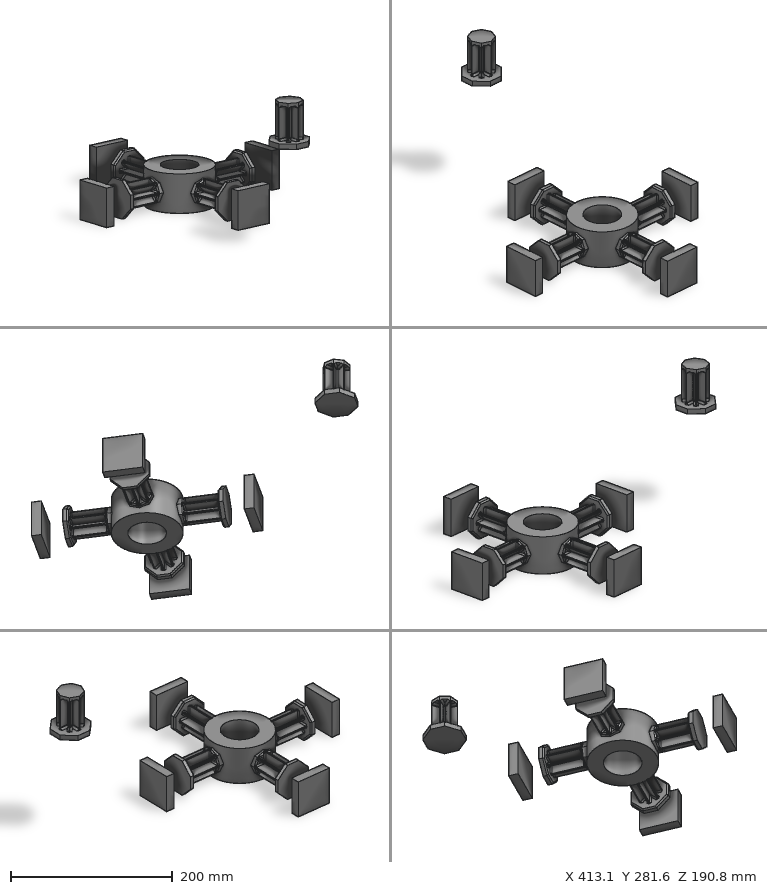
import cadquery as cq
import math

RING_DIAMETER = 88.8
BORE_DIAMETER = 47.5
RING_HEIGHT = 50.8
ARM_COUNT = 4

PLATE_SIDE = RING_HEIGHT
PLATE_THICKNESS = 12.5
PLATE_OUTER_RADIUS = 140.8

SHAFT_DIAMETER = 34.5
FLANGE_CORNER = 15.5
FLANGE_THICKNESS = 7.0
SIDE_COUNT = 8
RIB_PITCH = 2 * math.pi / SIDE_COUNT

ARM_OUTER_RADIUS = 101.5
ARM_FLANGE_WIDTH = 49.5
ARM_BEVEL = 1.85
ARM_CAP_RADIUS = 49.0
ARM_RIB_THICKNESS = 2.5
ARM_CORE_DIAMETER = 7.0
ARM_GROOVE_CHAMFER = 1.85

PLUG_X = 247.0
PLUG_Y = -33.5
PLUG_HEIGHT = 57.0
PLUG_TOP_ABOVE_RING_BASE = 190.8
PLUG_FLANGE_WIDTH = 50.5
PLUG_CAP_THICKNESS = 4.5
PLUG_RIB_THICKNESS = 1.2
PLUG_CORE_DIAMETER = 9.0
PLUG_GROOVE_CHAMFER = 2.5


def make_ring_cylinder(diameter):
    """Upright cylinder as tall as the ring."""
    return cq.Workplane("XY").cylinder(RING_HEIGHT, diameter / 2)


def make_ring():
    return make_ring_cylinder(RING_DIAMETER).cut(make_ring_cylinder(BORE_DIAMETER))


def make_plate():
    """Square plate on the +X side of the ring."""
    center_x = PLATE_OUTER_RADIUS - PLATE_THICKNESS / 2
    return cq.Workplane("XY").box(PLATE_THICKNESS, PLATE_SIDE, PLATE_SIDE).translate((center_x, 0, 0))


def make_flange(width):
    """Eight-sided plate on Z = 0: a square with its corners cut off at 45 degrees."""
    square = cq.Workplane("XY").rect(width, width).extrude(FLANGE_THICKNESS)
    return square.edges("|Z").chamfer(FLANGE_CORNER)


def make_core(bottom, top, diameter, chamfer):
    """Round core of a shaft, flared outwards by a cone at both ends."""
    radius = diameter / 2
    return (
        cq.Workplane("XZ")
        .moveTo(0, bottom)
        .lineTo(radius + chamfer, bottom)
        .lineTo(radius, bottom + chamfer)
        .lineTo(radius, top - chamfer)
        .lineTo(radius + chamfer, top)
        .lineTo(0, top)
        .close()
        .revolve(360, (0, 0, 0), (0, 1, 0))
    )


def make_rib_gap(bottom, top, rib_thickness):
    """Wedge that fills the gap between the rib along X and the next one, and runs past the rib tips."""
    half_rib = rib_thickness / 2
    apex_x = half_rib / math.tan(RIB_PITCH / 2)
    reach = ARM_FLANGE_WIDTH
    return (
        cq.Workplane("XY")
        .workplane(offset=bottom)
        .moveTo(apex_x, half_rib)
        .lineTo(apex_x + reach, half_rib)
        .lineTo(apex_x + reach * math.cos(RIB_PITCH), half_rib + reach * math.sin(RIB_PITCH))
        .close()
        .extrude(top - bottom)
    )


def make_groove(bottom, top, rib_thickness, core_diameter, chamfer):
    """Gap between two ribs down to the core, narrowed by chamfers at both ends."""
    gap = make_rib_gap(bottom, top, rib_thickness).faces("<Z or >Z").chamfer(chamfer)
    return gap.cut(make_core(bottom, top, core_diameter, chamfer))


def make_cap_bevel(cap_start, tip, rib_thickness, bevel):
    """What the bevel on the cap's edge takes away between two ribs."""
    cap = (
        cq.Workplane("XY")
        .workplane(offset=cap_start)
        .polygon(SIDE_COUNT, SHAFT_DIAMETER)
        .extrude(tip - cap_start)
        .faces("<Z")
        .chamfer(bevel)
    )
    return make_rib_gap(cap_start, cap_start + bevel, rib_thickness).cut(cap)


def make_shaft(height, cutters):
    """Eight-sided prism on Z = 0, cut alike in each side, which leaves a rib at each corner."""
    shaft = cq.Workplane("XY").polygon(SIDE_COUNT, SHAFT_DIAMETER).extrude(height)
    for index in range(SIDE_COUNT):
        for cutter in cutters:
            shaft = shaft.cut(cutter.rotate((0, 0, 0), (0, 0, 1), index * 360 / SIDE_COUNT))
    return shaft


def make_arm():
    """Arm on the +X side: flange outermost, tip shaped to the outer face of the ring."""
    flange = make_flange(ARM_FLANGE_WIDTH)
    flange = flange.faces(">Z").chamfer(ARM_BEVEL)
    cap_start = ARM_OUTER_RADIUS - ARM_CAP_RADIUS
    shaft_length = ARM_OUTER_RADIUS - BORE_DIAMETER / 2
    groove = make_groove(
        FLANGE_THICKNESS, cap_start, ARM_RIB_THICKNESS, ARM_CORE_DIAMETER, ARM_GROOVE_CHAMFER
    )
    cap_bevel = make_cap_bevel(cap_start, shaft_length, ARM_RIB_THICKNESS, ARM_BEVEL)
    arm = make_shaft(shaft_length, [groove, cap_bevel]).union(flange)
    arm = arm.rotate((0, 0, 0), (0, 1, 0), -90).translate((ARM_OUTER_RADIUS, 0, 0))
    return arm.cut(make_ring_cylinder(RING_DIAMETER))


def make_plug():
    """Plug beside the ring, standing on its flange."""
    groove = make_groove(
        FLANGE_THICKNESS,
        PLUG_HEIGHT - PLUG_CAP_THICKNESS,
        PLUG_RIB_THICKNESS,
        PLUG_CORE_DIAMETER,
        PLUG_GROOVE_CHAMFER,
    )
    flange = make_flange(PLUG_FLANGE_WIDTH)
    base_z = PLUG_TOP_ABOVE_RING_BASE - RING_HEIGHT / 2 - PLUG_HEIGHT
    return make_shaft(PLUG_HEIGHT, [groove]).union(flange).translate((PLUG_X, PLUG_Y, base_z))


def around_ring(body):
    """Separate copies of a body, one for each arm, evenly spaced about Z."""
    turn = 360 / ARM_COUNT
    return [body.rotate((0, 0, 0), (0, 0, 1), index * turn).val() for index in range(ARM_COUNT)]


ring = make_ring()
plates = around_ring(make_plate())
arms = around_ring(make_arm())
plug = make_plug()

result = cq.Compound.makeCompound([ring.val(), *plates, *arms, plug.val()])